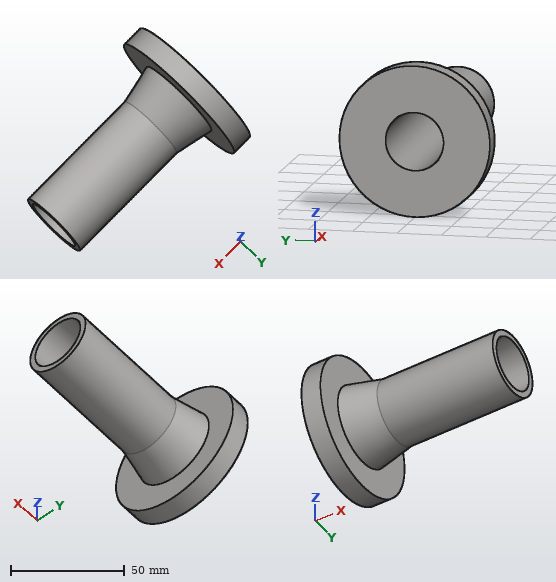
import cadquery as cq

total_length = 89.0
flange_diameter = 68.0
flange_thickness = 10.1
hub_diameter = 40.05
hub_length = 18.0
pipe_diameter = 32.2
bore_diameter = 26.2

flange_radius = flange_diameter / 2
hub_radius = hub_diameter / 2
pipe_radius = pipe_diameter / 2
bore_radius = bore_diameter / 2
hub_end = flange_thickness + hub_length

half_section = (
    cq.Workplane("XY")
    .moveTo(total_length, bore_radius)
    .lineTo(total_length, pipe_radius)
    .lineTo(hub_end, pipe_radius)
    .lineTo(flange_thickness, hub_radius)
    .lineTo(flange_thickness, flange_radius)
    .lineTo(0, flange_radius)
    .lineTo(0, bore_radius)
    .close()
)

result = half_section.revolve(360, (0, 0, 0), (1, 0, 0))